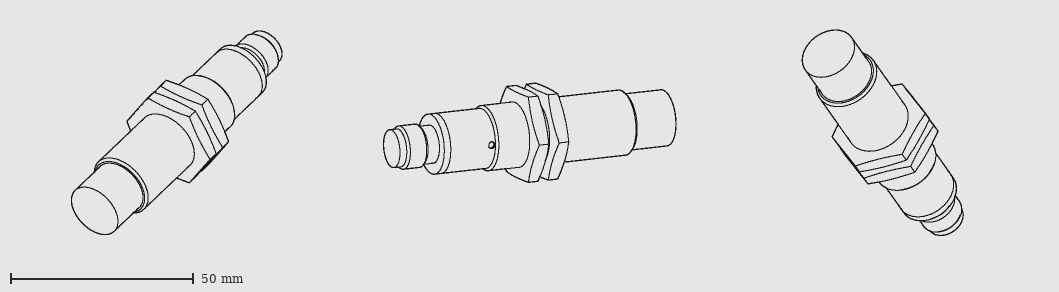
import cadquery as cq
import math

total_length = 82.5
rear_end = total_length / 2

collar_start = 2.1
collar_end = 8.5
flange_start = 12.0
sleeve_start = 13.95
barrel_start = 27.5
barrel_end = 70.45

connector_diameter = 10.5
collar_diameter = 12.0
sleeve_diameter = 16.6
sleeve_bore_diameter = 15.0
barrel_diameter = 18.0
head_diameter = 15.5
barrel_chamfer = (barrel_diameter - sleeve_diameter) / 2
collar_chamfer = (collar_diameter - connector_diameter) / 2

indicator_diameter = 1.9
indicator_station = 26.4

nut_across_flats = 24.0
nut_thickness = 4.05
nut_face_diameter = 23.3
nut_corner_drop = 0.6
nut_starts = (37.5, 43.6)


def cylinder(diameter, start, end):
    """Cylinder on the Y axis between two stations."""
    return (
        cq.Workplane("XZ", origin=(0, rear_end - start, 0))
        .circle(diameter / 2)
        .extrude(end - start)
    )


def make_connector():
    """Plug stem with a chamfered collar and the flange that closes the sleeve."""
    stem = cylinder(connector_diameter, 0, flange_start)
    collar = cylinder(collar_diameter, collar_start, collar_end).edges().chamfer(collar_chamfer)
    flange = cylinder(sleeve_diameter, flange_start, sleeve_start)
    return stem.union(collar).union(flange)


def make_sleeve():
    """Hollow rear sleeve with a round indicator window through its -X wall."""
    outside = cylinder(sleeve_diameter, sleeve_start, barrel_start)
    bore = cylinder(sleeve_bore_diameter, sleeve_start, barrel_start)
    window = (
        cq.Workplane("YZ", origin=(0, rear_end - indicator_station, 0))
        .circle(indicator_diameter / 2)
        .extrude(-sleeve_diameter / 2)
    )
    return outside.cut(bore).cut(window)


def make_barrel():
    """Main barrel, chamfered at both ends."""
    return cylinder(barrel_diameter, barrel_start, barrel_end).edges().chamfer(barrel_chamfer)


def make_head():
    """Plain cylindrical sensing head."""
    return cylinder(head_diameter, barrel_end, total_length)


def make_nut(start):
    """Hexagon nut with conically bevelled corners and a bore that fits the barrel."""
    corner_diameter = nut_across_flats / math.cos(math.pi / 6)
    hexagon = (
        cq.Workplane("XZ", origin=(0, rear_end - start, 0))
        .polygon(6, corner_diameter)
        .extrude(nut_thickness)
    )
    corner_bevel = (corner_diameter - nut_face_diameter) / 2
    envelope = (
        cylinder(corner_diameter, start, start + nut_thickness)
        .faces(">Y").chamfer(nut_corner_drop, corner_bevel)
        .faces("<Y").chamfer(nut_corner_drop, corner_bevel)
    )
    bore = cylinder(barrel_diameter, start, start + nut_thickness)
    return hexagon.intersect(envelope).cut(bore)


connector = make_connector()
sleeve = make_sleeve()
barrel = make_barrel()
head = make_head()
nuts = [make_nut(start) for start in nut_starts]

result = cq.Compound.makeCompound([
    connector.val(),
    sleeve.val(),
    barrel.val(),
    head.val(),
    *[nut.val() for nut in nuts],
])